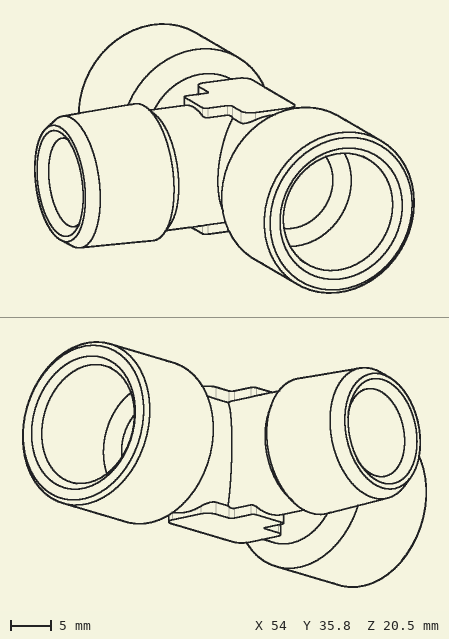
import cadquery as cq
import math

run_length = 54.0
half_run = run_length / 2
tube_radius = 15.0 / 2
passage_radius = 11.0 / 2

socket_radius = 20.5 / 2
socket_length = 12.7
rim_chamfer = 0.55
shoulder_angle = math.radians(30)
shoulder_length = (socket_radius - tube_radius) * math.tan(shoulder_angle)
socket_bore_radius = 14.95 / 2
socket_mouth_radius = 8.35
socket_mouth_depth = socket_mouth_radius - socket_bore_radius
socket_bore_depth = socket_length
bore_cone_length = (socket_bore_radius - passage_radius) * math.tan(shoulder_angle)

branch_end = 25.5
neck_end = 12.85
thread_start = 14.0
taper_end = 23.9
thread_large_radius = 8.55
thread_small_radius = 8.2
branch_tip_radius = 7.25
branch_mouth_radius = 6.6
branch_mouth_depth = branch_mouth_radius - passage_radius

pad_height = 8.1
pad_half_width = 7.3
pad_half_depth = 3.6
pad_stem_half_width = 3.0
pad_stem_end = 7.25
pad_corner_radius = 1.35
pad_stem_radius = 0.5


def revolve_about_x(points):
    """Revolve (x, radius) points about the run axis."""
    return cq.Workplane("XY").polyline(points).close().revolve(360, (0, 0, 0), (1, 0, 0))


def revolve_about_branch(points):
    """Revolve (radius, distance toward -Y) points about the branch axis."""
    profile = [(radius, -distance) for radius, distance in points]
    return cq.Workplane("XY").polyline(profile).close().revolve(360, (0, 0, 0), (0, 1, 0))


def mirrored_profile(half):
    """Complete a run profile listed from its -X end to its last point before the middle."""
    return half + [(-x, radius) for x, radius in reversed(half)]


def run_body():
    return revolve_about_x(mirrored_profile([
        (-half_run, 0),
        (-half_run, socket_radius - rim_chamfer),
        (-half_run + rim_chamfer, socket_radius),
        (-half_run + socket_length, socket_radius),
        (-half_run + socket_length + shoulder_length, tube_radius),
    ]))


def run_passage():
    return revolve_about_x(mirrored_profile([
        (-half_run, 0),
        (-half_run, socket_mouth_radius),
        (-half_run + socket_mouth_depth, socket_bore_radius),
        (-half_run + socket_bore_depth, socket_bore_radius),
        (-half_run + socket_bore_depth + bore_cone_length, passage_radius),
    ]))


def branch_body():
    return revolve_about_branch([
        (0, 0),
        (tube_radius, 0),
        (tube_radius, neck_end),
        (thread_large_radius, thread_start),
        (thread_small_radius, taper_end),
        (branch_tip_radius, branch_end),
        (0, branch_end),
    ])


def branch_passage():
    return revolve_about_branch([
        (0, 0),
        (passage_radius, 0),
        (passage_radius, branch_end - branch_mouth_depth),
        (branch_mouth_radius, branch_end),
        (0, branch_end),
    ])


def pads():
    """One T-shaped block through the body, showing as a pad on both sides."""
    bar = (
        cq.Workplane("XY")
        .rect(2 * pad_half_width, 2 * pad_half_depth)
        .extrude(pad_height, both=True)
        .edges("|Z").fillet(pad_corner_radius)
    )
    stem = (
        cq.Workplane("XY")
        .center(0, -pad_stem_end / 2)
        .rect(2 * pad_stem_half_width, pad_stem_end)
        .extrude(pad_height, both=True)
    )
    inner_corners = cq.selectors.BoxSelector(
        (-pad_stem_half_width - pad_stem_radius, -pad_stem_end - pad_stem_radius, -pad_height),
        (pad_stem_half_width + pad_stem_radius, -pad_half_depth + pad_stem_radius, pad_height),
    )
    return bar.union(stem).edges("|Z").edges(inner_corners).fillet(pad_stem_radius)


body = run_body().union(branch_body()).union(pads())
result = body.cut(run_passage()).cut(branch_passage())